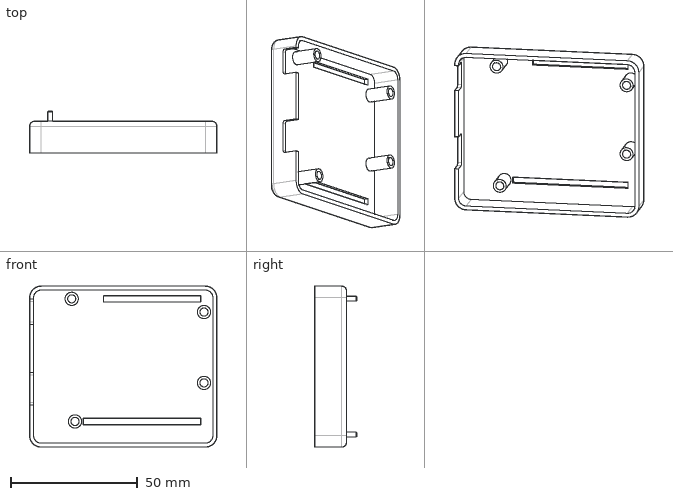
import cadquery as cq

LENGTH = 73.8
HEIGHT = 63.5
DEPTH = 12.6
WALL = 1.6
FLOOR = 1.6
CORNER_RADIUS = 4.6
BACK_EDGE_RADIUS = 2.0

STANDOFF_DIAMETER = 5.2
STANDOFF_BORE = 3.2
STANDOFF_RECESS = 1.0
BOARD_X = -19.0
BOARD_Z = -21.6
BOARD_ROW_SPACING = 48.3
STANDOFF_OFFSETS = [(0, 0), (-1.3, BOARD_ROW_SPACING), (50.8, 15.2), (50.8, 43.1)]

SLOT_WIDTH = 2.4
SLOT_RIGHT = 30.5
LOWER_SLOT_LEFT = -15.7
UPPER_SLOT_LEFT = -7.7

NOTCH_DEPTH = 6.2
NOTCH_RADIUS = 1.0
UPPER_NOTCH = (16.5, 26.6)
LOWER_NOTCH = (-15.2, -2.3)

PIN_DIAMETER = 2.0
PIN_LENGTH = 4.0
PIN_CHAMFER = 0.3
PIN_X = -28.8
PIN_Z = 26.75

FLOOR_Y = DEPTH - FLOOR


def box_between(x_range, y_range, z_range):
    """Axis-aligned box given by its limits on each axis."""
    (x0, x1), (y0, y1), (z0, z1) = x_range, y_range, z_range
    return cq.Workplane("XY").box(x1 - x0, y1 - y0, z1 - z0, centered=False).translate((x0, y0, z0))


def rod(x, z, diameter, y_start, y_end):
    """Cylinder along Y from y_start to y_end."""
    circle = cq.Workplane("XZ", origin=(x, y_start, z)).circle(diameter / 2)
    return circle.extrude(y_start - y_end)


def make_tray():
    outer = cq.Workplane("XY").box(LENGTH, DEPTH, HEIGHT).translate((0, DEPTH / 2, 0))
    outer = outer.edges("|Y").fillet(CORNER_RADIUS)
    outer = outer.faces(">Y").edges().fillet(BACK_EDGE_RADIUS)
    cavity = cq.Workplane("XY").box(LENGTH - 2 * WALL, FLOOR_Y, HEIGHT - 2 * WALL)
    cavity = cavity.translate((0, FLOOR_Y / 2, 0)).edges("|Y").fillet(CORNER_RADIUS - WALL)
    return outer.cut(cavity)


def make_standoff(x, z):
    post = rod(x, z, STANDOFF_DIAMETER, STANDOFF_RECESS, FLOOR_Y)
    return post.cut(rod(x, z, STANDOFF_BORE, STANDOFF_RECESS, FLOOR_Y))


def make_slot(left, center_z):
    z_range = (center_z - SLOT_WIDTH / 2, center_z + SLOT_WIDTH / 2)
    return box_between((left, SLOT_RIGHT), (FLOOR_Y, DEPTH), z_range)


def make_notch(z_range):
    wall_x = (-LENGTH / 2, -LENGTH / 2 + WALL)
    notch = box_between(wall_x, (0, NOTCH_DEPTH), z_range)
    return notch.edges("|X and >Y").fillet(NOTCH_RADIUS)


def make_pin(z):
    pin = rod(PIN_X, z, PIN_DIAMETER, DEPTH, DEPTH + PIN_LENGTH)
    return pin.faces(">Y").chamfer(PIN_CHAMFER)


result = make_tray()

for offset_x, offset_z in STANDOFF_OFFSETS:
    result = result.union(make_standoff(BOARD_X + offset_x, BOARD_Z + offset_z))

result = result.cut(make_slot(LOWER_SLOT_LEFT, BOARD_Z))
result = result.cut(make_slot(UPPER_SLOT_LEFT, BOARD_Z + BOARD_ROW_SPACING))

for notch_limits in (UPPER_NOTCH, LOWER_NOTCH):
    result = result.cut(make_notch(notch_limits))

for pin_z in (-PIN_Z, PIN_Z):
    result = result.union(make_pin(pin_z))